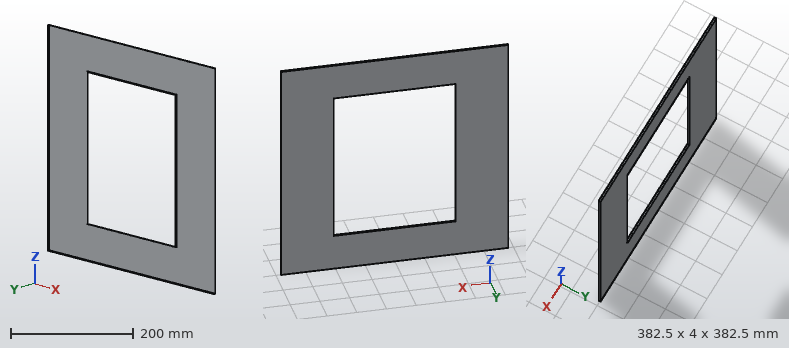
import cadquery as cq

plate_side = 382.5
plate_thickness = 4.0

window_width = 205.0
window_height = 259.0

plate = cq.Workplane("XY").box(plate_side, plate_thickness, plate_side)
window = cq.Workplane("XY").box(window_width, plate_thickness, window_height)

result = plate.cut(window)